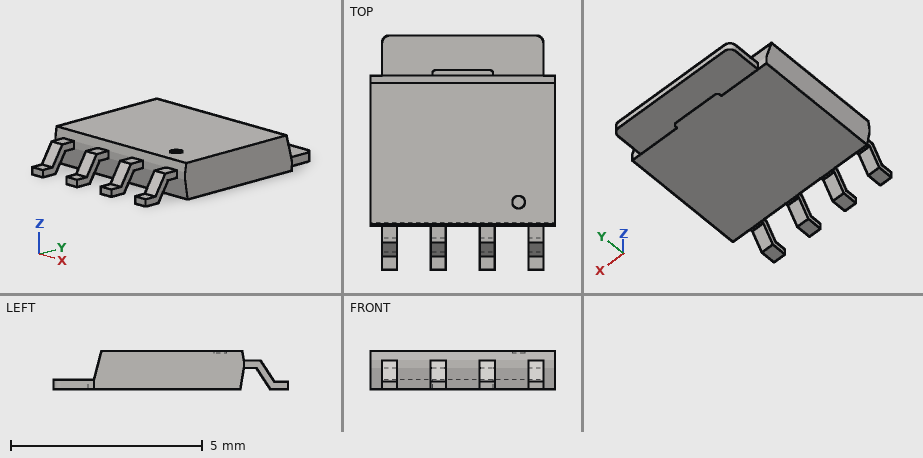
import cadquery as cq


total_length = 6.11
housing_width = 4.81
housing_height = 1.0
lead_reach = 1.15
tab_reach = 1.05
housing_length = total_length - lead_reach - tab_reach

tab_thickness = 0.25
tab_corner_radius = 0.2

tongue_width = 1.59
tongue_reach = 0.145
tongue_corner_radius = 0.1

lead_count = 4
lead_pitch = 1.27
lead_width = 0.4
lead_thickness = 0.2
lead_top = 0.75
shoulder_top_length = 0.435
shoulder_bottom_length = 0.325
foot_top_length = 0.355
foot_bottom_length = 0.465
lead_bottom = lead_top - lead_thickness

tab_width = (lead_count - 1) * lead_pitch + lead_width

front_top_inset = 0.04
front_bottom_inset = 0.09
back_top_inset = 0.195

marker_radius = 0.165
marker_x = 1.455
marker_y = 0.62
marker_depth = 0.05


def make_tongue():
    """Flat tongue at the back of the housing, as thick as the tab, with two rounded corners."""
    return (
        cq.Workplane("XY")
        .box(tongue_width, tongue_reach, tab_thickness, centered=(True, False, False))
        .edges("|Z and >Y")
        .fillet(tongue_corner_radius)
        .translate((0, housing_length, 0))
    )


def make_housing():
    """Moulded block with sloped front and back, the tongue and the marker recess."""
    block = (
        cq.Workplane("YZ")
        .moveTo(front_bottom_inset, 0)
        .lineTo(housing_length, 0)
        .lineTo(housing_length, tab_thickness)
        .lineTo(housing_length - back_top_inset, housing_height)
        .lineTo(front_top_inset, housing_height)
        .lineTo(0, lead_top)
        .lineTo(0, lead_bottom)
        .close()
        .extrude(housing_width / 2, both=True)
    )
    marker = (
        cq.Workplane("XY", origin=(marker_x, marker_y, housing_height - marker_depth))
        .circle(marker_radius)
        .extrude(marker_depth)
    )
    return block.union(make_tongue()).cut(marker)


def make_tab():
    """Metal plate behind the housing, with rounded outer corners and the tongue notch."""
    plate = (
        cq.Workplane("XY")
        .box(tab_width, tab_reach, tab_thickness, centered=(True, False, False))
        .edges("|Z and >Y")
        .fillet(tab_corner_radius)
        .translate((0, housing_length, 0))
    )
    return plate.cut(make_tongue())


def make_lead(center_x):
    """Bent lead: a level shoulder at the housing, a sloped shank and a level foot."""
    return (
        cq.Workplane("YZ", origin=(center_x, 0, 0))
        .moveTo(0, lead_top)
        .lineTo(-shoulder_top_length, lead_top)
        .lineTo(foot_top_length - lead_reach, lead_thickness)
        .lineTo(-lead_reach, lead_thickness)
        .lineTo(-lead_reach, 0)
        .lineTo(foot_bottom_length - lead_reach, 0)
        .lineTo(-shoulder_bottom_length, lead_bottom)
        .lineTo(0, lead_bottom)
        .close()
        .extrude(lead_width / 2, both=True)
    )


housing = make_housing()
tab = make_tab()
first_lead_x = -(lead_count - 1) * lead_pitch / 2
leads = [make_lead(first_lead_x + index * lead_pitch) for index in range(lead_count)]

result = cq.Compound.makeCompound([housing.val(), tab.val(), *[lead.val() for lead in leads]])